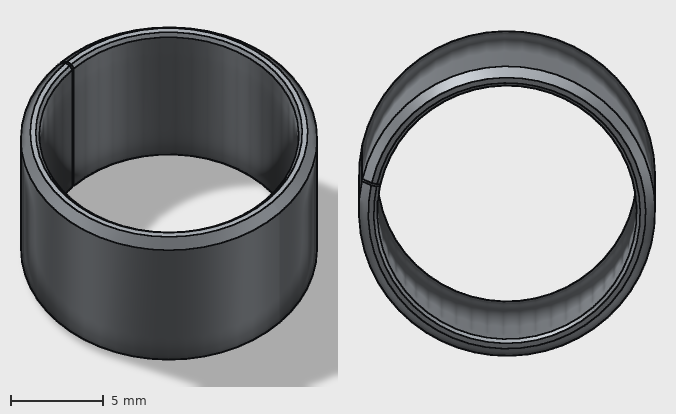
import cadquery as cq

outer_diameter = 16.0
length = 10.0
bore_diameter = 14.0
outer_chamfer = 0.51
inner_chamfer = 0.2
slit_width = 0.13

outer_radius = outer_diameter / 2
bore_radius = bore_diameter / 2
half_length = length / 2


def sleeve():
    """Revolve the wall section, chamfered on all four edges."""
    section = [
        (bore_radius, -half_length + inner_chamfer),
        (bore_radius + inner_chamfer, -half_length),
        (outer_radius - outer_chamfer, -half_length),
        (outer_radius, -half_length + outer_chamfer),
        (outer_radius, half_length - outer_chamfer),
        (outer_radius - outer_chamfer, half_length),
        (bore_radius + inner_chamfer, half_length),
        (bore_radius, half_length - inner_chamfer),
    ]
    return cq.Workplane("XZ").polyline(section).close().revolve(360, (0, 0), (0, 1))


def slit():
    """Cutter through the -X wall, with one face on the XZ plane and the gap on its +Y side."""
    cutter = cq.Workplane("XY").box(outer_radius, slit_width, length, centered=(False, False, True))
    return cutter.translate((-outer_radius, 0, 0))


result = sleeve().cut(slit())